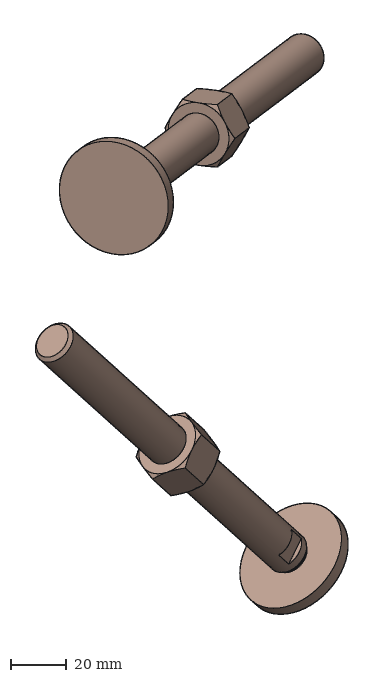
import cadquery as cq
import math

total_length = 168.5

plate_diameter = 43.0
plate_thickness = 4.7

rod_diameter = 16.0
tip_chamfer = 1.3
neck_length = 0.5
base_taper_length = 1.5
base_taper_depth = 1.0

flats_across = 12.0
flats_start = 10.1
flats_length = 6.7
flats_angle = 30.0

nut_across_flats = 24.0
nut_start = 74.6
nut_height = 14.8
nut_chamfer_angle = 30.0
nut_across_corners = nut_across_flats / math.cos(math.radians(30.0))


def axial_workplane(y):
    """Workplane normal to the axis, facing +Y, at height y."""
    return cq.Workplane(cq.Plane(origin=(0, y, 0), xDir=(1, 0, 0), normal=(0, 1, 0)))


def revolve_profile(points):
    """Turn a closed (radius, y) outline about the Y axis."""
    return cq.Workplane("XY").polyline(points).close().revolve(360, (0, 0, 0), (0, 1, 0))


def make_plate():
    return axial_workplane(0).circle(plate_diameter / 2).extrude(plate_thickness)


def make_flats_cutter():
    """Material outside the two parallel wrench flats."""
    slab = axial_workplane(flats_start).rect(flats_across, 2 * rod_diameter).extrude(flats_length)
    blank = axial_workplane(flats_start).circle(rod_diameter).extrude(flats_length)
    return blank.cut(slab).rotate((0, 0, 0), (0, 1, 0), -flats_angle)


def make_rod():
    """Rod standing on the plate, with a tapered base, a narrow neck and a chamfered tip."""
    radius = rod_diameter / 2
    neck_radius = radius - base_taper_depth
    neck_top = plate_thickness + neck_length
    rod = revolve_profile([
        (0, plate_thickness),
        (neck_radius, plate_thickness),
        (neck_radius, neck_top),
        (radius, neck_top + base_taper_length),
        (radius, total_length - tip_chamfer),
        (radius - tip_chamfer, total_length),
        (0, total_length),
    ])
    return rod.cut(make_flats_cutter())


def make_nut():
    """Hexagon nut with corners on the X axis, conically chamfered at both ends."""
    nut = axial_workplane(nut_start).polygon(6, nut_across_corners).extrude(nut_height)
    face_radius = nut_across_flats / 2
    envelope_radius = nut_across_corners / 2
    chamfer_height = (envelope_radius - face_radius) * math.tan(math.radians(nut_chamfer_angle))
    nut_end = nut_start + nut_height
    chamfer_envelope = revolve_profile([
        (0, nut_start),
        (face_radius, nut_start),
        (envelope_radius, nut_start + chamfer_height),
        (envelope_radius, nut_end - chamfer_height),
        (face_radius, nut_end),
        (0, nut_end),
    ])
    bore = axial_workplane(nut_start).circle(rod_diameter / 2).extrude(nut_height)
    return nut.intersect(chamfer_envelope).cut(bore)


plate = make_plate()
rod = make_rod()
nut = make_nut()

result = cq.Compound.makeCompound([plate.val(), rod.val(), nut.val()])